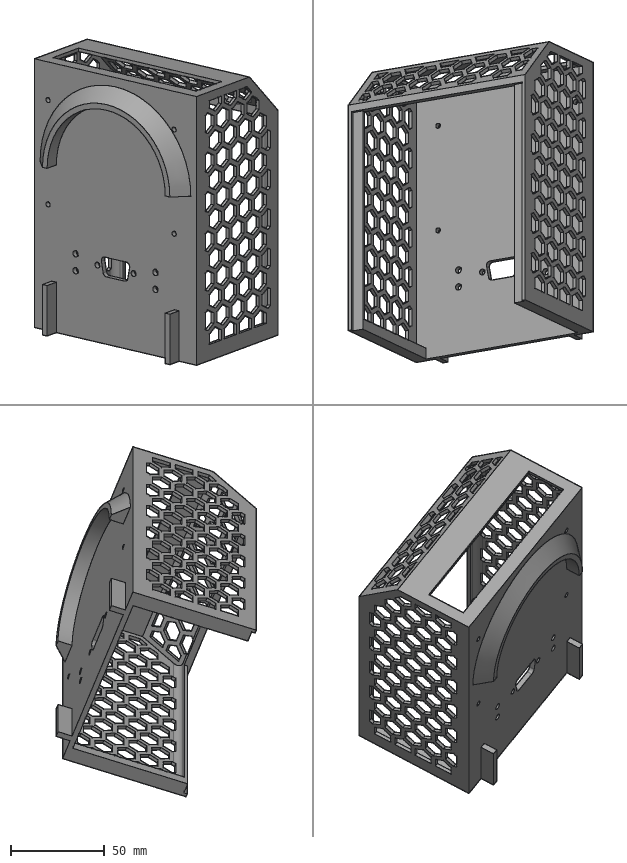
import cadquery as cq
import math

width = 110.4
depth = 70.0
height = 150.0
wall = 2.0
front_wall = 3.0
slope_run = 24.6

rim_width = 8.0
back_rim = 3.9
floor_rim = 6.0
rim_recess = 2.0
rim_fillet = 3.9
back_opening_top = 121.5

window_width = 97.4
window_depth = 21.9
window_front = 7.8

hex_flats = 10.0
hex_pitch = 12.9
side_grille_front = 7.8
side_grille_back = 6.6
side_grille_bottom = 9.0
side_grille_top = 5.0
side_rows_bottom = 11.8
side_rows_top = 143.8
side_row_count = 13
row_pitch = (side_rows_top - side_rows_bottom) / (side_row_count - 1)
slope_grille_side = 5.0
slope_grille_top = 3.5
slope_grille_bottom = 2.7
slope_grille_centre = 16.6
slope_corner = 3.0

front_relief = 78.0 - depth
hood_height = 93.6
hood_inner_radius = 40.2
hood_tip_radius = 43.4
hood_base_radius = hood_tip_radius + front_relief
rib_height = 28.2

connector_height = 43.0
connector_top_width = 20.1
connector_bottom_width = 16.0
connector_opening = 10.8
connector_fillet = 2.2
connector_screw_offset = 12.3
connector_screw_diameter = 3.2
port_hole_offset = 27.2
port_hole_heights = (37.0, 46.5)
port_hole_diameter = 3.5
board_hole_places = (-45.9, 39.9)
board_hole_heights = (70.5, 128.7)
board_hole_diameter = 2.7


def box(x_range, y_range, z_range):
    """Axis-aligned box between the given limits."""
    (x0, x1), (y0, y1), (z0, z1) = x_range, y_range, z_range
    return cq.Workplane("XY").box(x1 - x0, y1 - y0, z1 - z0, centered=False).translate((x0, y0, z0))


def side_profile(front, back, bottom, top, half_width, slope_inset):
    """Prism over the enclosure's side outline, with its slope moved inward by slope_inset."""
    slope_sum = depth + height - slope_run - slope_inset * math.sqrt(2)
    points = [
        (front, bottom),
        (back, bottom),
        (back, slope_sum - back),
        (slope_sum - top, top),
        (front, top),
    ]
    return cq.Workplane("YZ").polyline(points).close().extrude(half_width, both=True)


def honeycomb(plane, rows, even_count, odd_count, length, omitted=None):
    """Hexagonal prisms in rows along the plane's x, row 0 through its origin, each row centred."""
    centres = []
    for row in rows:
        count = odd_count if row % 2 else even_count
        for column in range(count):
            if (row, column) != omitted:
                centres.append(((column - (count - 1) / 2) * hex_pitch, row * row_pitch))
    corner_radius = hex_flats / math.sqrt(3)
    corners = []
    for corner in range(6):
        angle = math.radians(30 + 60 * corner)
        corners.append((corner_radius * math.cos(angle), corner_radius * math.sin(angle)))
    prisms = cq.Workplane(plane)
    prism = cq.Workplane(plane).polyline(corners).close().extrude(length, both=True).val()
    for x, y in centres:
        offset = plane.toWorldCoords((x, y)) - plane.origin
        prisms.add(prism.translate(offset))
    return prisms.combine()


def shell():
    """Hollow enclosure, open at the back and the floor inside a rim along both sides."""
    body = side_profile(0, depth, 0, height, width / 2, 0)
    inner_half_width = width / 2 - wall
    cavity = side_profile(
        front_wall, depth - back_rim, floor_rim, height - wall, inner_half_width, wall
    )
    cavity = cavity.edges("|Z and >Y").fillet(rim_fillet)
    half_opening = width / 2 - rim_width
    opening_x = (-half_opening, half_opening)
    recess_x = (-inner_half_width, inner_half_width)
    floor_opening = box(opening_x, (front_wall, depth), (0, floor_rim))
    back_opening = box(opening_x, (depth - back_rim, depth), (0, back_opening_top))
    recess = box(recess_x, (depth - rim_recess, depth), (0, back_opening_top))
    return body.cut(cavity).cut(floor_opening).cut(back_opening).cut(recess)


def side_grille():
    """Hexagon holes through both side walls, kept inside a plain border."""
    centre_y = (side_grille_front + depth - side_grille_back) / 2
    centre_z = (side_rows_bottom + side_rows_top) / 2
    plane = cq.Plane(origin=(0, centre_y, centre_z), xDir=(0, 1, 0), normal=(1, 0, 0))
    field = side_profile(
        side_grille_front, depth - side_grille_back, side_grille_bottom,
        height - side_grille_top, width, side_grille_top,
    )
    return honeycomb(plane, range(-6, 7), 4, 5, width, omitted=(5, 4)).intersect(field)


def slope_grille():
    """Hexagon holes through the sloped wall, kept inside a plain border and clear of the side rims."""
    slope_length = slope_run * math.sqrt(2)
    fall = slope_grille_centre / math.sqrt(2)
    plane = cq.Plane(
        origin=(row_pitch / 2, depth - slope_run + fall, height - fall),
        xDir=(0, -1, 1),
        normal=(0, 1, 1),
    )
    field_length = slope_length - slope_grille_bottom - slope_grille_top
    field_middle = slope_grille_centre - slope_grille_top - field_length / 2
    field = (
        cq.Workplane(plane)
        .center(field_middle, -row_pitch / 2)
        .rect(field_length, width - 2 * slope_grille_side)
        .extrude(2 * wall, both=True)
    )
    for side in (-1, 1):
        rim_x = sorted((side * width / 2, side * (width / 2 - rim_width)))
        field = field.cut(box(rim_x, (depth - slope_corner, depth), (0, height)))
    return honeycomb(plane, range(-5, 5), 3, 2, 2 * wall).intersect(field)


def roof_window():
    """Rectangular opening through the roof."""
    half_width = window_width / 2
    y_range = (window_front, window_front + window_depth)
    return box((-half_width, half_width), y_range, (height - 2 * wall, height + wall))


def front_hole(x, z, diameter):
    """Round hole through the front wall."""
    return cq.Workplane("XZ", origin=(x, 0, z)).circle(diameter / 2).extrude(2 * front_wall, both=True)


def front_holes():
    """Screw holes for the connector, the ports and the circuit board."""
    holes = cq.Workplane("XY")
    for side in (-1, 1):
        holes.add(front_hole(side * connector_screw_offset, connector_height, connector_screw_diameter))
        for z in port_hole_heights:
            holes.add(front_hole(side * port_hole_offset, z, port_hole_diameter))
    for x in board_hole_places:
        for z in board_hole_heights:
            holes.add(front_hole(x, z, board_hole_diameter))
    return holes.combine()


def connector_cutout():
    """D-shaped opening through the front wall, narrower at the bottom."""
    top = connector_opening / 2
    points = [
        (-connector_top_width / 2, top),
        (connector_top_width / 2, top),
        (connector_bottom_width / 2, -top),
        (-connector_bottom_width / 2, -top),
    ]
    plane = cq.Workplane("XZ", origin=(0, 0, connector_height))
    cutout = plane.polyline(points).close().extrude(2 * front_wall, both=True)
    return cutout.edges("|Y").fillet(connector_fillet)


def hood():
    """Half ring on the front face, bevelled outside to a narrow flat tip."""
    section = [
        (hood_inner_radius, 0),
        (hood_base_radius, 0),
        (hood_tip_radius, -front_relief),
        (hood_inner_radius, -front_relief),
    ]
    half_ring = cq.Workplane("XY").polyline(section).close().revolve(180, (0, 0), (0, -1))
    return half_ring.translate((0, 0, hood_height))


def rib(side):
    """Upright rib below one end of the hood."""
    ends = sorted((side * hood_inner_radius, side * hood_tip_radius))
    return box(ends, (-front_relief, 0), (0, rib_height))


result = shell().cut(side_grille()).cut(slope_grille()).cut(roof_window())
result = result.cut(connector_cutout()).cut(front_holes())
result = result.union(hood()).union(rib(-1)).union(rib(1))